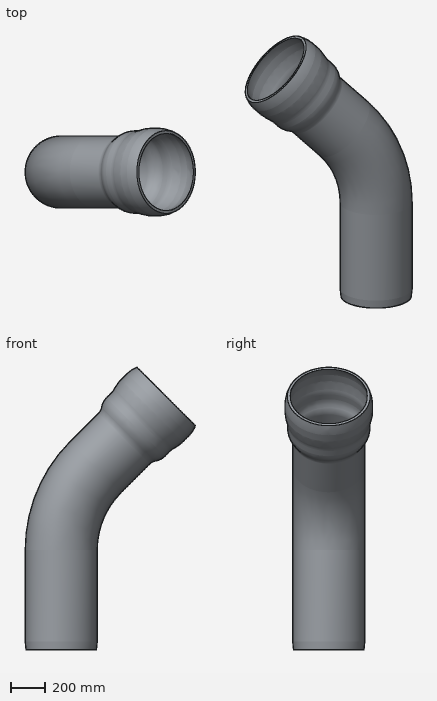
import cadquery as cq
import math

wall = 15.0
pipe_radius = 210.0
bend_angle = 45
bend_radius = 682.0
leg_length = 579.0

chamfer_length = 48.0
chamfer_depth = 5.0

seal_diameter = 510.0
seal_radius = seal_diameter / 2
seat_radius = seal_radius - wall

seal_front = 65.0
seal_back = 116.0
shoulder_middle = 180.0
seat_front = 210.0
seat_back = 250.0
neck_middle = 310.0
neck_end = 344.0

bend_rad = math.radians(bend_angle)
bend_end_x = bend_radius * (1 - math.cos(bend_rad))
bend_end_z = leg_length + bend_radius * math.sin(bend_rad)


def tangent_arc_radius(length, rise):
    """Radius of an arc that starts parallel to the axis and rises over a length."""
    return (length**2 + rise**2) / (2 * rise)


def add_arc(outline, centre, radius, start_angle, end_angle):
    """Continue the outline along an arc about centre; angles from the radial direction."""
    def point(angle):
        return (centre[0] + radius * math.cos(angle), centre[1] + radius * math.sin(angle))

    return outline.threePointArc(point((start_angle + end_angle) / 2), point(end_angle))


def add_step(outline, inset, small_radius, large_radius, back, middle, front):
    """Tangent S-curve that widens from small_radius to large_radius toward the mouth."""
    rise = large_radius - small_radius
    hollow_length = back - middle
    crown_length = middle - front
    hollow_rise = rise * hollow_length / (back - front)
    hollow = tangent_arc_radius(hollow_length, hollow_rise)
    crown = tangent_arc_radius(crown_length, rise - hollow_rise)
    slope = math.asin(hollow_length / hollow)
    hollow_centre = (small_radius + hollow, leg_length - back)
    crown_centre = (large_radius - crown, leg_length - front)
    outline = outline.lineTo(small_radius - inset, leg_length - back)
    outline = add_arc(outline, hollow_centre, hollow + inset, math.pi, math.pi - slope)
    return add_arc(outline, crown_centre, crown - inset, -slope, 0)


def upper_leg(inset):
    """Solid of the straight leg and socket, with its surface moved inward by inset."""
    outline = cq.Workplane("XZ").lineTo(pipe_radius - inset, 0)
    outline = add_step(outline, inset, pipe_radius, seat_radius, neck_end, neck_middle, seat_back)
    outline = add_step(outline, inset, seat_radius, seal_radius, seat_front, shoulder_middle, seal_back)
    lip = tangent_arc_radius(seal_front, wall)
    lip_centre = (seal_radius - lip, leg_length - seal_front)
    lip_angle = math.asin(seal_front / (lip - inset))
    outline = outline.lineTo(seal_radius - inset, leg_length - seal_front)
    outline = add_arc(outline, lip_centre, lip - inset, 0, lip_angle)
    leg = outline.lineTo(0, leg_length).close().revolve(360, (0, 0), (0, 1))
    return leg.rotate((0, 0, 0), (0, 1, 0), bend_angle).translate((bend_end_x, 0, bend_end_z))


def bend(radius):
    """Solid elbow that turns from +Z toward +X."""
    profile = cq.Workplane("XY", origin=(0, 0, leg_length)).circle(radius)
    return profile.revolve(bend_angle, (bend_radius, 0), (bend_radius, 1))


def lower_leg():
    """Hollow straight leg, chamfered outside at its free end."""
    inner_radius = pipe_radius - wall
    return (
        cq.Workplane("XZ")
        .moveTo(inner_radius, 0)
        .lineTo(pipe_radius - chamfer_depth, 0)
        .lineTo(pipe_radius, chamfer_length)
        .lineTo(pipe_radius, leg_length)
        .lineTo(inner_radius, leg_length)
        .close()
        .revolve(360, (0, 0), (0, 1))
    )


elbow = bend(pipe_radius).cut(bend(pipe_radius - wall))
socket_leg = upper_leg(0).cut(upper_leg(wall))

result = lower_leg().union(elbow).union(socket_leg)